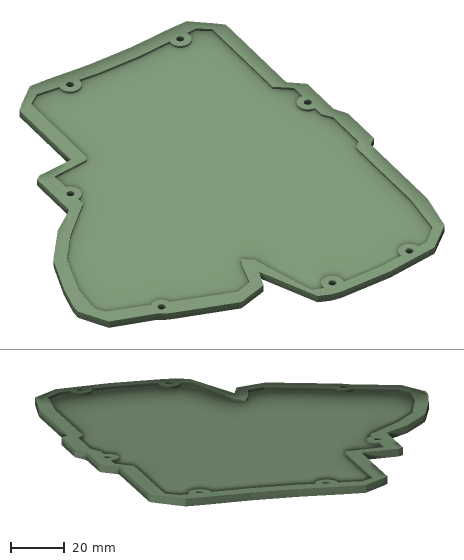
import cadquery as cq

LENGTH = 165.07
WIDTH = 148.22
THICKNESS = 3.0

RECESS_DEPTH = 1.0

HOLE_DIAMETER = 3.0
PAD_DIAMETER = 8.4

LEFT_AXIS_Y = 93.2

TOP_STEP_Y = 145.2
LEFT_HALF_HEIGHT = 46.0
BOTTOM_LEDGE_Y = 30.3
RECESS_TOP_STEP_Y = 139.7
RECESS_LEFT_HALF_HEIGHT = 40.3
RECESS_LEDGE_Y = 36.7

LEFT_END = [
    (1.5, 9.0),
    (1.0, 16.8),
    (0.3, 26.0),
    (0.0, 34.9),
    (7.2, 43.3),
    (9.8, LEFT_HALF_HEIGHT),
]
RECESS_LEFT_END = [
    (7.6, 9.0),
    (6.9, 17.5),
    (6.4, 26.2),
    (5.5, 35.3),
    (9.1, RECESS_LEFT_HALF_HEIGHT),
]

OUTER_EDGE = [
    (50.5, LEFT_AXIS_Y + LEFT_HALF_HEIGHT),
    (55.6, TOP_STEP_Y),
    (73.3, TOP_STEP_Y),
    (78.5, WIDTH),
    (96.0, WIDTH),
    (98.5, TOP_STEP_Y),
    (136.7, TOP_STEP_Y),
    (153.4, 141.9),
    (162.3, 131.5),
    (LENGTH, 110.0),
    (LENGTH, 88.3),
    (164.4, 84.2),
    (162.4, 79.4),
    (138.4, 69.1),
    (146.0, 66.2),
    (149.8, 53.8),
    (141.0, 28.9),
    (139.9, 26.4),
    (138.2, 23.8),
    (132.3, 6.3),
    (122.7, 0.9),
    (121.0, 0.0),
    (117.0, 0.4),
    (106.7, 3.1),
    (92.0, 8.6),
    (89.9, 9.6),
    (77.0, 20.0),
    (69.1, BOTTOM_LEDGE_Y),
    (47.4, BOTTOM_LEDGE_Y),
    (46.0, 32.4),
    (44.7, LEFT_AXIS_Y - LEFT_HALF_HEIGHT),
]

RECESS_EDGE = [
    (50.0, LEFT_AXIS_Y + RECESS_LEFT_HALF_HEIGHT),
    (54.9, RECESS_TOP_STEP_Y),
    (73.3, RECESS_TOP_STEP_Y),
    (77.4, 142.4),
    (94.5, 142.4),
    (96.9, RECESS_TOP_STEP_Y),
    (134.0, RECESS_TOP_STEP_Y),
    (152.0, 137.4),
    (158.0, 131.0),
    (160.7, 108.9),
    (160.7, 91.5),
    (159.7, 83.9),
    (158.0, 79.5),
    (131.3, 71.5),
    (128.5, 67.6),
    (132.1, 65.8),
    (141.6, 62.9),
    (143.9, 56.1),
    (126.8, 8.7),
    (123.1, 6.3),
    (120.1, 6.3),
    (110.3, 7.4),
    (93.2, 13.4),
    (82.0, 22.4),
    (72.2, 33.0),
    (68.9, RECESS_LEDGE_Y),
    (49.6, RECESS_LEDGE_Y),
    (48.0, 51.8),
    (46.9, LEFT_AXIS_Y - RECESS_LEFT_HALF_HEIGHT),
]

HOLE_CENTERS = [
    (64.8, 139.4),
    (7.4, 120.4),
    (158.9, 122.6),
    (158.9, 88.3),
    (7.4, 71.4),
    (61.4, 36.0),
    (135.8, 27.5),
]


def closed_outline(left_end, edge):
    """Join a mirrored left end and the remaining edge into one clockwise list of corners."""
    upper = [(x, LEFT_AXIS_Y + height) for x, height in left_end]
    lower = [(x, LEFT_AXIS_Y - height) for x, height in reversed(left_end)]
    return upper + edge + lower


def prism(outline, bottom, height):
    return cq.Workplane("XY").workplane(offset=bottom).polyline(outline).close().extrude(height)


def discs(diameter, bottom, height):
    """Equal cylinders standing on every hole center."""
    return (
        cq.Workplane("XY")
        .workplane(offset=bottom)
        .pushPoints(HOLE_CENTERS)
        .circle(diameter / 2)
        .extrude(height)
    )


floor_z = THICKNESS - RECESS_DEPTH

plate = prism(closed_outline(LEFT_END, OUTER_EDGE), 0, THICKNESS)
recess = prism(closed_outline(RECESS_LEFT_END, RECESS_EDGE), floor_z, RECESS_DEPTH)
pads = discs(PAD_DIAMETER, floor_z, RECESS_DEPTH)
holes = discs(HOLE_DIAMETER, 0, THICKNESS)

result = plate.cut(recess.cut(pads)).cut(holes)